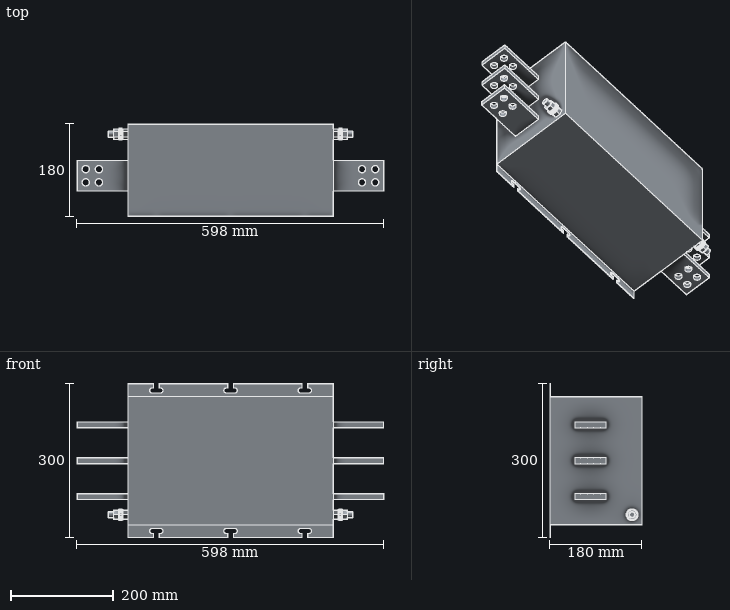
import cadquery as cq
import math

overall_length = 598.0
overall_depth = 180.0
overall_height = 300.0

housing_length = 400.5
housing_height = 250.0
sheet_thickness = 0.9
front_y = -overall_depth / 2
back_y = overall_depth / 2

slot_pitch = 145.0
slot_neck_width = 11.0
slot_head_length = 26.0
slot_head_height = 9.5
slot_depth = 18.0

bar_width = 60.0
bar_thickness = 12.0
bar_pitch = 70.0
lower_bar_extra_length = 0.5
bar_center_y = -11.0
bar_hole_diameter = 14.0
bar_hole_pitch = 26.0
bar_hole_end_distance = 17.0

stud_inset = 20.0
stud_y = back_y - stud_inset
stud_z = -housing_height / 2 + stud_inset
stud_diameter = 12.5
stud_chamfer_length = 0.5
stud_chamfer_depth = 1.0
stud_length = 38.0
nut_across_flats = 18.0
nut_thickness = 9.5
washer_diameter = 20.5
washer_thickness = 1.0
lock_washer_diameter = 23.5
lock_washer_thickness = 6.0
lock_washer_teeth = 16
tooth_gap_width = 2.0
tooth_gap_depth = 2.5


def make_housing():
    """Plain rectangular housing that fills the full depth."""
    return cq.Workplane("XY").box(housing_length, overall_depth, housing_height)


def make_slot(x, side):
    """T-slot cutter; side is +1 for the upper edge and -1 for the lower edge."""
    edge_z = overall_height / 2
    head_z = edge_z - slot_depth + slot_head_height / 2
    plane = cq.Workplane("XZ", origin=(0, front_y, 0))
    head = (
        plane.center(x, side * head_z)
        .slot2D(slot_head_length, slot_head_height)
        .extrude(-sheet_thickness)
    )
    neck_length = edge_z - head_z
    neck = (
        plane.center(x, side * (head_z + neck_length / 2))
        .rect(slot_neck_width, neck_length)
        .extrude(-sheet_thickness)
    )
    return head.union(neck)


def make_sheet():
    """Mounting sheet on the front face, standing out above and below the housing."""
    sheet = cq.Workplane("XZ", origin=(0, front_y, 0)).rect(housing_length, overall_height)
    sheet = sheet.extrude(-sheet_thickness)
    for column in (-1, 0, 1):
        for side in (-1, 1):
            sheet = sheet.cut(make_slot(column * slot_pitch, side))
    return sheet


def make_bar(z, length):
    """Flat bar through the housing, starting at the -X end, with four holes near each end."""
    left_end = -overall_length / 2
    bar = cq.Workplane("XY").box(length, bar_width, bar_thickness)
    bar = bar.translate((left_end + length / 2, 0, 0))
    hole_group_inset = bar_hole_end_distance + bar_hole_pitch / 2
    for hole_group_x in (left_end + hole_group_inset, left_end + length - hole_group_inset):
        holes = (
            cq.Workplane("XY", origin=(hole_group_x, 0, -bar_thickness / 2))
            .rarray(bar_hole_pitch, bar_hole_pitch, 2, 2)
            .circle(bar_hole_diameter / 2)
            .extrude(bar_thickness)
        )
        bar = bar.cut(holes)
    return bar.translate((0, bar_center_y, z))


def make_lock_washer():
    """External-tooth lock washer along +X from the origin."""
    gaps = (
        cq.Workplane("YZ")
        .polarArray(lock_washer_diameter / 2, 0, 360, lock_washer_teeth)
        .rect(2 * tooth_gap_depth, tooth_gap_width)
        .extrude(lock_washer_thickness)
    )
    disc = cq.Workplane("YZ").circle(lock_washer_diameter / 2).extrude(lock_washer_thickness)
    return disc.cut(gaps)


def make_stud():
    """Stud along +X from the origin: nut, washer, lock washer, washer, nut."""
    nut_corners = nut_across_flats / math.cos(math.pi / 6)
    stud = cq.Workplane("YZ").circle(stud_diameter / 2).extrude(stud_length)
    stud = stud.faces(">X").chamfer(stud_chamfer_length, stud_chamfer_depth)
    nut = cq.Workplane("YZ").polygon(6, nut_corners).extrude(nut_thickness)
    washer = cq.Workplane("YZ").circle(washer_diameter / 2).extrude(washer_thickness)
    x = 0
    for ring, thickness in (
        (nut, nut_thickness),
        (washer, washer_thickness),
        (make_lock_washer(), lock_washer_thickness),
        (washer, washer_thickness),
        (nut, nut_thickness),
    ):
        stud = stud.union(ring.translate((x, 0, 0)))
        x += thickness
    return stud


result = make_housing().union(make_sheet())
result = result.union(make_bar(-bar_pitch, overall_length))
for z in (0, bar_pitch):
    result = result.union(make_bar(z, overall_length - lower_bar_extra_length))

right_stud = make_stud().translate((housing_length / 2, stud_y, stud_z))
result = result.union(right_stud).union(right_stud.mirror("YZ"))